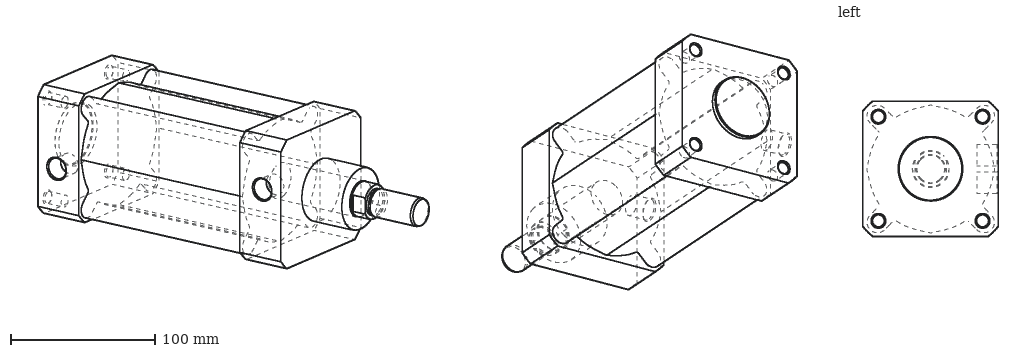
import cadquery as cq
import math


overall_length = 298
rear_boss_length = 4.0
cap_length = 35.2
barrel_length = 138.0
guide_length = 34.0

rear_cap_x = rear_boss_length
barrel_x = rear_cap_x + cap_length
front_cap_x = barrel_x + barrel_length
guide_x = front_cap_x + cap_length
guide_end_x = guide_x + guide_length

cap_side = 94.0
cap_corner_radius = 61.7
boss_radius = 22.4
rear_boss_chamfer = 0.5
guide_chamfer_length = 1.8
guide_chamfer_depth = 0.3

screw_spacing = 72.0
screw_hole_radius = 4.2
screw_hole_depth = 15
countersink = 1.0

port_radius = 7.5
port_depth = 15
port_setback = 16.0
port_offset_z = 9.5

tube_radius = 43.2
ridge_half_width = 9.5
lobe_radius = 7.2
lobe_centre = 37.0
lobe_root_fillet = 2.0

rod_radius = 12.8
shoulder_taper_length = 1.0
collar_radius = 12.5
collar_end_x = 258.0
collar_chamfer_length = 1.0
collar_chamfer_depth = 0.3
wrench_flat_size = 22.0
wrench_flat_setback = 1.8
neck_radius = 9.5
neck_length = 1.8
thread_radius = 10.0
thread_chamfer_length = 1.8


def section_at(x):
    """Workplane across the axis at x; its local axes are Y and Z."""
    return cq.Workplane("YZ", origin=(x, 0, 0))


def cylinder(x, radius, length):
    return section_at(x).circle(radius).extrude(length)


def cap_block(x):
    """Square block with its four long edges turned to the corner radius."""
    block = section_at(x).rect(cap_side, cap_side).extrude(cap_length)
    return block.intersect(cylinder(x, cap_corner_radius, cap_length))


def countersunk_hole(plane, radius, depth):
    """Cutter for a flat-bottomed hole going in along the plane's normal."""
    hole = cq.Workplane(plane).circle(radius).extrude(depth)
    mouth = cq.Solid.makeCone(radius + countersink, radius, countersink, plane.origin, plane.zDir)
    return hole.union(cq.Workplane(mouth))


def port(x, z):
    face_plane = cq.Plane(origin=(x, -cap_side / 2, z), xDir=(1, 0, 0), normal=(0, 1, 0))
    return countersunk_hole(face_plane, port_radius, port_depth)


def make_rear_cap():
    boss = cylinder(0, boss_radius, rear_boss_length).faces("<X").chamfer(rear_boss_chamfer)
    cap = cap_block(rear_cap_x).union(boss)
    cap = cap.cut(port(rear_cap_x + port_setback, -port_offset_z))
    for y_side in (-1, 1):
        for z_side in (-1, 1):
            centre = (rear_cap_x, y_side * screw_spacing / 2, z_side * screw_spacing / 2)
            hole_plane = cq.Plane(origin=centre, xDir=(0, 1, 0), normal=(1, 0, 0))
            cap = cap.cut(countersunk_hole(hole_plane, screw_hole_radius, screw_hole_depth))
    return cap


def make_front_cap():
    guide = cylinder(guide_x, boss_radius, guide_length)
    guide = guide.faces(">X").chamfer(guide_chamfer_length, guide_chamfer_depth)
    cap = cap_block(front_cap_x).union(guide)
    cap = cap.cut(port(guide_x - port_setback, port_offset_z))
    return cap.cut(cylinder(front_cap_x, rod_radius, cap_length + guide_length))


def make_barrel():
    """Round tube with a shallow ridge on each side and a rounded lobe on each diagonal."""
    ridge_angle = math.asin(ridge_half_width / tube_radius)
    ridge_radius = tube_radius / math.cos(ridge_angle)

    lobe_out = lobe_centre * math.sqrt(2)
    root_centre_across = lobe_radius + lobe_root_fillet
    root_reach = tube_radius + lobe_root_fillet
    root_centre_out = math.sqrt(root_reach**2 - root_centre_across**2)
    root_angle = math.asin(root_centre_across / root_reach)
    root_mid_angle = math.pi + (root_angle + math.pi / 2) / 2
    root_mid_out = root_centre_out + lobe_root_fillet * math.cos(root_mid_angle)
    root_mid_across = root_centre_across + lobe_root_fillet * math.sin(root_mid_angle)

    outline = section_at(barrel_x).moveTo(ridge_radius, 0)
    for quarter in range(4):
        diagonal = math.radians(45 + 90 * quarter)
        cos_diagonal = math.cos(diagonal)
        sin_diagonal = math.sin(diagonal)

        def point(out, across):
            return (out * cos_diagonal - across * sin_diagonal, out * sin_diagonal + across * cos_diagonal)

        def tube_point(angle, radius=tube_radius):
            return point(radius * math.cos(angle), radius * math.sin(angle))

        tangent = math.pi / 4 - ridge_angle
        tube_mid = (tangent + root_angle) / 2
        outline = (
            outline.lineTo(*tube_point(-tangent))
            .threePointArc(tube_point(-tube_mid), tube_point(-root_angle))
            .threePointArc(point(root_mid_out, -root_mid_across), point(root_centre_out, -lobe_radius))
            .lineTo(*point(lobe_out, -lobe_radius))
            .threePointArc(point(lobe_out + lobe_radius, 0), point(lobe_out, lobe_radius))
            .lineTo(*point(root_centre_out, lobe_radius))
            .threePointArc(point(root_mid_out, root_mid_across), tube_point(root_angle))
            .threePointArc(tube_point(tube_mid), tube_point(tangent))
            .lineTo(*tube_point(math.pi / 4, ridge_radius))
        )
    return outline.close().extrude(barrel_length)


def make_rod():
    """Stepped rod, turned about the X axis, with two wrench flats on its collar."""
    collar_x = guide_end_x + shoulder_taper_length
    thread_x = collar_end_x + neck_length
    thread_chamfer_depth = thread_radius - neck_radius
    rod = (
        cq.Workplane("XY")
        .moveTo(front_cap_x, 0)
        .lineTo(front_cap_x, rod_radius)
        .lineTo(guide_end_x, rod_radius)
        .lineTo(collar_x, collar_radius)
        .lineTo(collar_end_x - collar_chamfer_length, collar_radius)
        .lineTo(collar_end_x, collar_radius - collar_chamfer_depth)
        .lineTo(collar_end_x, neck_radius)
        .lineTo(thread_x, neck_radius)
        .lineTo(thread_x + thread_chamfer_length, thread_radius)
        .lineTo(overall_length - thread_chamfer_length, thread_radius)
        .lineTo(overall_length, thread_radius - thread_chamfer_depth)
        .lineTo(overall_length, 0)
        .close()
        .revolve(360, (0, 0, 0), (1, 0, 0))
    )
    flats_x = guide_end_x + wrench_flat_setback
    flats_length = collar_end_x - flats_x
    stock_side = 4 * collar_radius
    stock = section_at(flats_x).rect(stock_side, stock_side).extrude(flats_length)
    between_flats = section_at(flats_x).rect(wrench_flat_size, stock_side).extrude(flats_length)
    return rod.cut(stock.cut(between_flats))


rear_cap = make_rear_cap()
barrel = make_barrel()
front_cap = make_front_cap()
rod = make_rod()

result = cq.Compound.makeCompound([rear_cap.val(), barrel.val(), front_cap.val(), rod.val()])